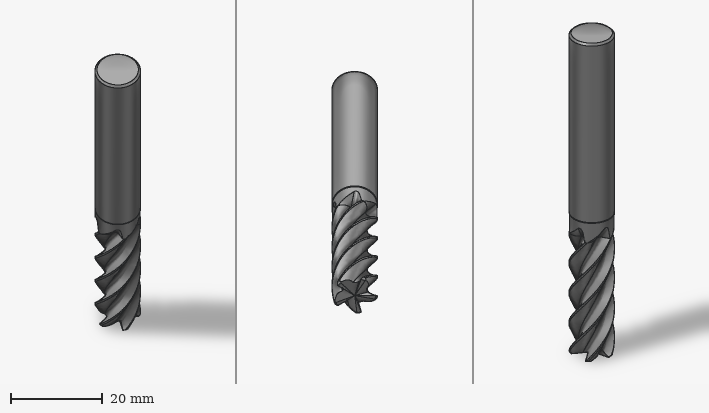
import cadquery as cq
import math

total_length = 80.0
diameter = 10.0
cut_length = 30.0
neck_top = 35.0
neck_diameter = 9.8
neck_step = 0.2
shank_chamfer = 0.5

tooth_count = 5
flute_lead = 37.5
first_edge_angle = 42.0
margin_angle = 6.0
margin_drop = 0.04
back_angle = 20.0
back_radius = 4.2
root_start_angle = 38.0
root_start_radius = 2.9
root_angle = 50.0
root_radius = 2.7
root_end_angle = 64.0
root_end_radius = 3.4
corner_chamfer = 0.5

runout_height = 3.6
runout_rise = 2.6
runout_lean_angle = 72.0

gash_angle = 60.0
gash_rim_height = 2.4
gash_depth = 1.7

outer_radius = diameter / 2
neck_radius = neck_diameter / 2
tooth_pitch = 360 / tooth_count
twist_rate = 360 / flute_lead
cut_twist = twist_rate * cut_length
clearance = 0.8


def polar(radius, angle):
    """Point at a radius and an angle in degrees."""
    turn = math.radians(angle)
    return radius * math.cos(turn), radius * math.sin(turn)


def add_flute(outline, edge_angle):
    """Draw one tooth back and flute, from a cutting edge to the next one."""
    return (
        outline.lineTo(*polar(outer_radius - margin_drop, edge_angle + margin_angle))
        .threePointArc(
            polar(back_radius, edge_angle + back_angle),
            polar(root_start_radius, edge_angle + root_start_angle),
        )
        .threePointArc(
            polar(root_radius, edge_angle + root_angle),
            polar(root_end_radius, edge_angle + root_end_angle),
        )
        .lineTo(*polar(outer_radius, edge_angle + tooth_pitch))
    )


def make_gash(edge_angle):
    """Wedge with a flat upright face below one end tooth's cutting edge."""
    reach = 2 * outer_radius
    height = gash_rim_height * reach / outer_radius
    centre = cq.Vector(0, 0, 0)
    edge = cq.Vector(*polar(reach, edge_angle), 0)
    top = cq.Vector(*polar(reach, edge_angle), height)
    back = cq.Vector(*polar(reach, edge_angle - gash_angle), 0)
    corners = [(centre, edge, top), (centre, top, back), (centre, back, edge), (edge, back, top)]
    faces = [cq.Face.makeFromWires(cq.Wire.makePolygon(list(c), close=True)) for c in corners]
    wedge = cq.Workplane(obj=cq.Solid.makeSolid(cq.Shell.makeShell(faces)))
    return wedge.intersect(cq.Workplane("XY").circle(reach).extrude(gash_depth))


def make_cutting_part():
    """Twisted five-tooth body with chamfered corners and gashed end teeth."""
    outline = cq.Workplane("XY").moveTo(*polar(outer_radius, first_edge_angle))
    for tooth in range(tooth_count):
        outline = add_flute(outline, first_edge_angle + tooth * tooth_pitch)
    body = outline.close().twistExtrude(cut_length, cut_twist)

    blank = cq.Workplane("XY").circle(outer_radius + clearance).extrude(cut_length)
    blank = blank.faces("<Z").chamfer(corner_chamfer + clearance)
    body = body.intersect(blank)
    for tooth in range(tooth_count):
        body = body.cut(make_gash(first_edge_angle + tooth * tooth_pitch))
    return body


def make_runout(edge_angle):
    """Straight continuation of one flute, leaning outwards."""
    beyond = outer_radius + clearance
    outline = cq.Workplane("XY", origin=(0, 0, cut_length)).moveTo(*polar(outer_radius, edge_angle))
    outline = add_flute(outline, edge_angle)
    outline = outline.lineTo(*polar(beyond, edge_angle + tooth_pitch))
    outline = outline.threePointArc(
        polar(beyond, edge_angle + tooth_pitch / 2), polar(beyond, edge_angle)
    )
    lean = cq.Vector(*polar(runout_rise, edge_angle + runout_lean_angle), runout_height)
    wire = outline.close().wire().val()
    return cq.Workplane(obj=cq.Solid.extrudeLinear(wire, [], lean))


def make_shank():
    """Plain shank and neck, with the flutes running out in the neck."""
    profile = [
        (0, cut_length),
        (neck_radius, cut_length),
        (neck_radius, neck_top),
        (outer_radius, neck_top + neck_step),
        (outer_radius, total_length - shank_chamfer),
        (outer_radius - shank_chamfer, total_length),
        (0, total_length),
    ]
    body = cq.Workplane("XZ").polyline(profile).close().revolve(360, (0, 0), (0, 1))
    for tooth in range(tooth_count):
        body = body.cut(make_runout(first_edge_angle + cut_twist + tooth * tooth_pitch))
    return body


cutting_part = make_cutting_part()
shank = make_shank()
result = cq.Compound.makeCompound([cutting_part.val(), shank.val()])